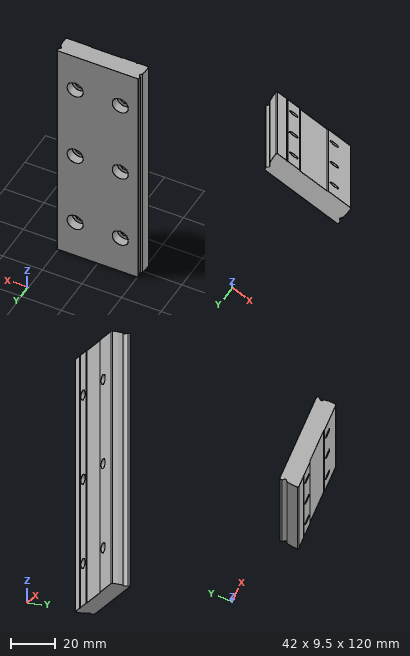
import cadquery as cq

length = 120.0
base_width = 42.0
depth = 9.5

head_width = 41.5
waist_width = 41.3
bottom_chamfer = 0.5
top_chamfer = 0.4
wall_height = 3.2
waist_height = 5.8

race_height = 6.8
race_floor_width = 39.6
race_round_width = 39.8
race_round_half_height = 0.4
race_end = 8.0

relief_width = 15.6
relief_depth = 0.2
relief_slope = 0.5

groove_offset = -15.0
groove_width = 0.7
groove_depth = 0.2

hole_diameter = 4.5
counterbore_diameter = 8.0
counterbore_depth = 4.5
hole_spacing_x = 22.8
hole_pitch = length / 3
hole_rows = 3

front_y = -depth / 2
back_y = depth / 2


def extrude_outline(points):
    """Extrude a closed XY outline along the whole rail."""
    outline = cq.Workplane("XY").workplane(offset=-length / 2).polyline(points).close()
    return outline.extrude(length)


def rail_body():
    """Symmetric rail section with a ball race in each side."""
    half_section = (
        cq.Workplane("XY", origin=(0, 0, -length / 2))
        .moveTo(0, front_y)
        .lineTo(base_width / 2 - bottom_chamfer, front_y)
        .lineTo(base_width / 2, front_y + bottom_chamfer)
        .lineTo(base_width / 2, front_y + wall_height)
        .lineTo(waist_width / 2, front_y + waist_height)
        .lineTo(race_round_width / 2, front_y + race_height - race_round_half_height)
        .threePointArc(
            (race_floor_width / 2, front_y + race_height),
            (race_round_width / 2, front_y + race_height + race_round_half_height),
        )
        .lineTo(head_width / 2, front_y + race_end)
        .lineTo(head_width / 2, back_y - top_chamfer)
        .lineTo(head_width / 2 - top_chamfer, back_y)
        .lineTo(0, back_y)
    )
    return half_section.mirrorY().extrude(length)


def center_relief():
    """Shallow channel with sloping sides."""
    floor_half = relief_width / 2 - relief_slope / 2
    mouth_half = relief_width / 2 + relief_slope / 2
    return extrude_outline([
        (-mouth_half, front_y),
        (mouth_half, front_y),
        (floor_half, front_y + relief_depth),
        (-floor_half, front_y + relief_depth),
    ])


def reference_groove():
    """V-groove to one side of the relief."""
    return extrude_outline([
        (groove_offset - groove_width / 2, front_y),
        (groove_offset + groove_width / 2, front_y),
        (groove_offset, front_y + groove_depth),
    ])


def screw_holes():
    """Through holes with counterbores at the back."""
    back_plane = cq.Workplane("XZ", origin=(0, back_y, 0))
    spots = back_plane.rarray(hole_spacing_x, hole_pitch, 2, hole_rows)
    through = spots.circle(hole_diameter / 2).extrude(depth)
    heads = spots.circle(counterbore_diameter / 2).extrude(counterbore_depth)
    return through.union(heads)


result = rail_body().cut(center_relief()).cut(reference_groove()).cut(screw_holes())